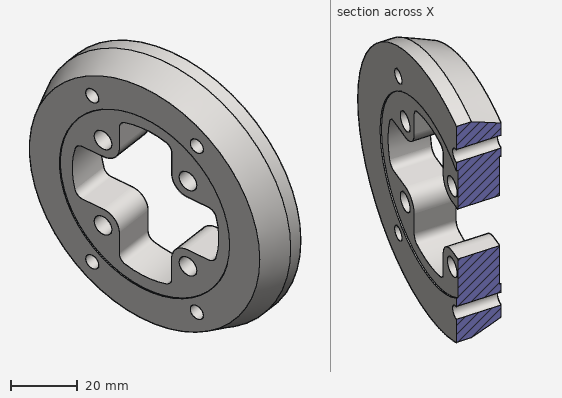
import cadquery as cq

outer_diameter = 96.0
front_diameter = 88.0
thickness = 15.0
rim_width = 5.0

recess_diameter = 65.0
recess_depth = 0.5

window_diameter = 56.0
slot_width = 20.0
inner_corner_radius = 6.0
tip_corner_radius = 3.0

inner_hole_diameter = 6.7
inner_hole_offset = 16.2
outer_hole_diameter = 5.0
outer_hole_x = 20.0
outer_hole_z = 31.6

taper_length = thickness - rim_width


def ring_body():
    """Tapered front portion and straight rear rim, revolved about Y."""
    return (
        cq.Workplane("XY")
        .lineTo(front_diameter / 2, 0)
        .lineTo(outer_diameter / 2, taper_length)
        .lineTo(outer_diameter / 2, thickness)
        .lineTo(0, thickness)
        .close()
        .revolve(360, (0, 0, 0), (0, 1, 0))
    )


def back_plane():
    """Sketch plane on the rear face; extrusions run toward -Y."""
    return cq.Workplane("XZ", origin=(0, thickness, 0))


def cross_window():
    """Through cutter for the cross, with rounded corners."""
    slots = (
        back_plane()
        .rect(slot_width, window_diameter)
        .extrude(thickness)
        .union(back_plane().rect(window_diameter, slot_width).extrude(thickness))
    )
    cross = slots.intersect(back_plane().circle(window_diameter / 2).extrude(thickness))

    core_size = slot_width + inner_corner_radius
    core = cq.selectors.BoxSelector(
        (-core_size / 2, 0, -core_size / 2),
        (core_size / 2, thickness, core_size / 2),
    )
    lengthwise = cq.selectors.ParallelDirSelector(cq.Vector(0, 1, 0))
    cross = cross.edges(lengthwise - core).fillet(tip_corner_radius)
    return cross.edges(lengthwise & core).fillet(inner_corner_radius)


def quadrant_holes(x, z, diameter):
    """Four through cutters mirrored across the XY and YZ planes."""
    centers = back_plane().rect(2 * x, 2 * z, forConstruction=True).vertices()
    return centers.circle(diameter / 2).extrude(thickness)


front_recess = cq.Workplane("XZ").circle(recess_diameter / 2).extrude(-recess_depth)
rear_recess = back_plane().circle(recess_diameter / 2).extrude(recess_depth)

result = (
    ring_body()
    .cut(front_recess)
    .cut(rear_recess)
    .cut(cross_window())
    .cut(quadrant_holes(inner_hole_offset, inner_hole_offset, inner_hole_diameter))
    .cut(quadrant_holes(outer_hole_x, outer_hole_z, outer_hole_diameter))
)